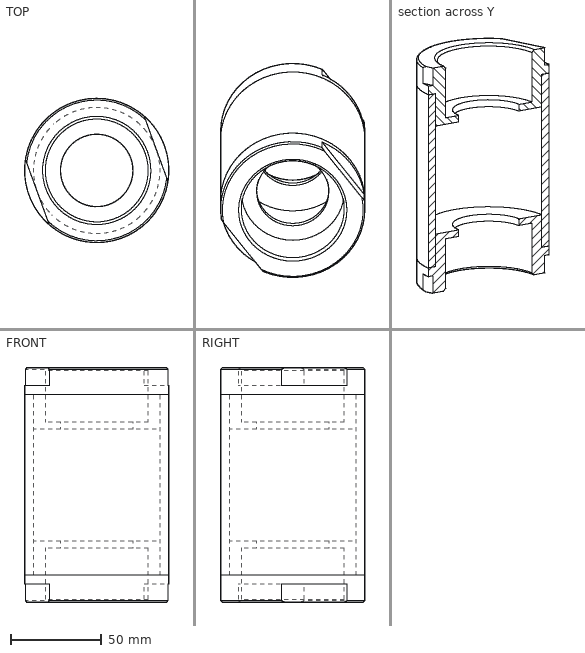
import cadquery as cq

OUTER_RADIUS = 40
TOTAL_LENGTH = 130
CAP_FLANGE_LENGTH = 15
RIM_CHAMFER = 1

TUBE_LENGTH = TOTAL_LENGTH - 2 * CAP_FLANGE_LENGTH
TUBE_BORE_RADIUS = 35

PORT_RADIUS = 28.5
PORT_MOUTH_RADIUS = 30
PORT_DEPTH = 30
PORT_FLOOR_THICKNESS = 4
PASSAGE_RADIUS = 20
CAP_LENGTH = PORT_DEPTH + PORT_FLOOR_THICKNESS

FLAT_DISTANCE = 35
FLAT_LENGTH = 10
FLAT_ANGLE = 20


def make_tube():
    """Plain tube centred on the origin, along Z."""
    return (
        cq.Workplane("XY")
        .workplane(offset=-TUBE_LENGTH / 2)
        .circle(OUTER_RADIUS)
        .circle(TUBE_BORE_RADIUS)
        .extrude(TUBE_LENGTH)
    )


def revolved_cap():
    """Flange, plug and stepped bore of the upper cap, turned about Z."""
    top = TOTAL_LENGTH / 2
    mouth_chamfer = PORT_MOUTH_RADIUS - PORT_RADIUS
    profile = [
        (PORT_MOUTH_RADIUS, top),
        (OUTER_RADIUS - RIM_CHAMFER, top),
        (OUTER_RADIUS, top - RIM_CHAMFER),
        (OUTER_RADIUS, top - CAP_FLANGE_LENGTH),
        (TUBE_BORE_RADIUS, top - CAP_FLANGE_LENGTH),
        (TUBE_BORE_RADIUS, top - CAP_LENGTH),
        (PASSAGE_RADIUS, top - CAP_LENGTH),
        (PASSAGE_RADIUS, top - PORT_DEPTH),
        (PORT_RADIUS, top - PORT_DEPTH),
        (PORT_RADIUS, top - mouth_chamfer),
    ]
    return cq.Workplane("XZ").polyline(profile).close().revolve(360, (0, 0), (0, 1))


def flat_cutters():
    """Two blocks that leave parallel wrench flats at the outer end of the upper cap."""
    cutter_depth = OUTER_RADIUS
    cutter_centre = FLAT_DISTANCE + cutter_depth / 2
    return (
        cq.Workplane("XY")
        .workplane(offset=TOTAL_LENGTH / 2 - FLAT_LENGTH)
        .pushPoints([(-cutter_centre, 0), (cutter_centre, 0)])
        .rect(cutter_depth, 2 * OUTER_RADIUS)
        .extrude(FLAT_LENGTH)
    )


def make_caps():
    """The upper cap and its mirror image at the lower end of the tube."""
    upper_cap = revolved_cap().cut(flat_cutters())
    upper_cap = upper_cap.rotate((0, 0, 0), (0, 0, 1), FLAT_ANGLE)
    return [upper_cap, upper_cap.mirror("XY")]


tube = make_tube()
caps = make_caps()
result = cq.Compound.makeCompound([tube.val(), *[cap.val() for cap in caps]])